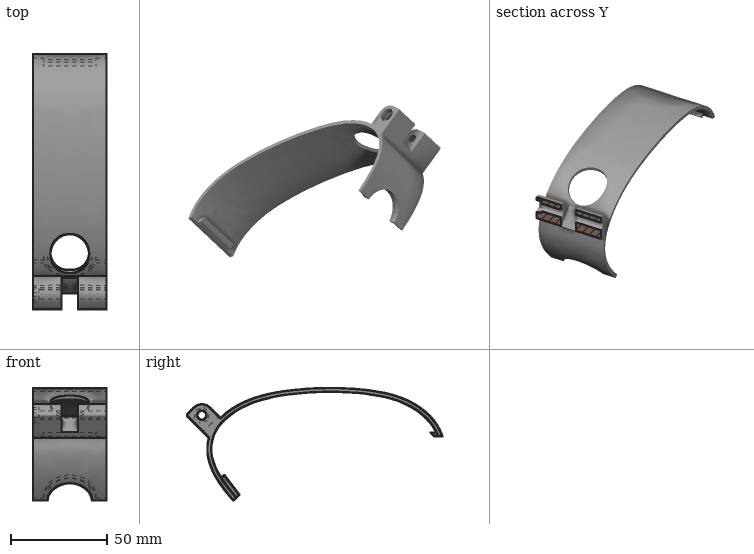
import cadquery as cq
import math


width = 38.1
wall = 2.0
side_curve = [
    (66.8, 2.5),
    (60.4, 13.7),
    (44.2, 24.1),
    (29.7, 27.5),
    (4.7, 28.9),
    (-11.5, 27.8),
    (-37.5, 21.0),
    (-53.6, 6.1),
    (-55.5, -3.3),
    (-52.2, -15.1),
    (-47.5, -22.6),
    (-40.9, -30.6),
]
rear_end_z = 3.8
front_end = (-41.8, -29.35)
end_trim = 20.0

catch_width = 27.0
catch_height = 2.0
catch_root_y = 65.0
catch_tip_y = 62.2

notch_radius = 11.45
rim_radius = 13.5
rim_height = 2.0
rim_root = 0.8
rim_centre = (-38.5, -27.0)
rim_lean = 52.7
notch_depth = 12.0

window_y = -36.9
window_z = 19.8
window_half_width = 10.0
window_half_length = 11.3
window_flare = 0.35
window_tilt = 30.0
window_reach = 8.0

bolt_y = -58.3
bolt_z = 14.75
bolt_diameter = 4.6
lug_half = 5.72
lug_corner_radius = 1.0
lug_upper_root = -8.4
lug_lower_root = -11.6
lug_slot_width = 8.5
lug_slot_floor = -6.5
nut_flats = 7.1
nut_depth = 3.0
lug_lean = math.radians(45)


def make_strap():
    """Sweep the flat wall section along the side curve."""
    spine = cq.Workplane("YZ").spline(side_curve)
    start = spine.val().positionAt(0)
    heading = spine.val().tangentAt(0)
    section = cq.Plane(origin=start, xDir=(1, 0, 0), normal=heading)
    return (
        cq.Workplane(section)
        .center(0, -wall / 2)
        .rect(width, wall)
        .sweep(spine)
    )


def trim_ends(strap):
    """Cut the rear end level and the front end at 45 degrees."""
    rear = cq.Workplane("XY").box(2 * width, end_trim, end_trim)
    rear = rear.translate((0, catch_root_y, rear_end_z - end_trim / 2))
    front_plane = cq.Plane(origin=(0, *front_end), xDir=(1, 0, 0), normal=(0, 1, -1))
    front = cq.Workplane(front_plane).rect(2 * width, end_trim).extrude(end_trim)
    return strap.cut(rear).cut(front)


def make_catch():
    """Lip inside the rear end, with an undercut 45 degree tip."""
    top = rear_end_z + catch_height
    return (
        cq.Workplane("YZ")
        .moveTo(catch_root_y, rear_end_z)
        .lineTo(catch_tip_y, rear_end_z)
        .lineTo(catch_tip_y - catch_height, top)
        .lineTo(catch_root_y - catch_height / 2, top)
        .close()
        .extrude(catch_width / 2, both=True)
    )


def notch_plane():
    """Plane of the rim's inner face, facing into the strap."""
    lean = math.radians(rim_lean)
    facing = (0, math.sin(lean), math.cos(lean))
    return cq.Plane(origin=(0, *rim_centre), xDir=(1, 0, 0), normal=facing)


def make_rim():
    return cq.Workplane(notch_plane()).circle(rim_radius).extrude(-(rim_height + rim_root))


def make_notch():
    return cq.Workplane(notch_plane()).circle(notch_radius).extrude(notch_depth / 2, both=True)


def make_window():
    """Oval cutter whose axis leans towards the front and whose length flares outwards."""
    tilt = math.radians(window_tilt)
    axis = (0, -math.sin(tilt), math.cos(tilt))
    plane = cq.Plane(origin=(0, window_y, window_z), xDir=(1, 0, 0), normal=axis)
    flare = window_flare * window_reach
    return (
        cq.Workplane(plane)
        .workplane(offset=-window_reach)
        .ellipse(window_half_width, window_half_length - flare)
        .workplane(offset=2 * window_reach)
        .ellipse(window_half_width, window_half_length + flare)
        .loft(ruled=True)
    )


def lug_plane(x):
    """Plane across the bolt at a given x; local x is out, local y is low."""
    out = (0, -math.cos(lug_lean), math.sin(lug_lean))
    return cq.Plane(origin=(x, bolt_y, bolt_z), xDir=out, normal=(1, 0, 0))


def make_lug():
    """Full-width lug, rounded about the bolt on its upper side and slotted in the middle."""
    h = lug_half
    r = lug_corner_radius
    mid = math.sqrt(0.5)
    body = (
        cq.Workplane(lug_plane(0))
        .moveTo(lug_upper_root, -h)
        .lineTo(0, -h)
        .threePointArc((h * mid, -h * mid), (h, 0))
        .lineTo(h, h - r)
        .threePointArc((h - r + r * mid, h - r + r * mid), (h - r, h))
        .lineTo(lug_lower_root, h)
        .close()
        .extrude(width / 2, both=True)
    )
    slot = (
        cq.Workplane(lug_plane(0))
        .moveTo(lug_slot_floor, -2 * h)
        .lineTo(2 * h, -2 * h)
        .lineTo(2 * h, 2 * h)
        .lineTo(lug_slot_floor, 2 * h)
        .close()
        .extrude(lug_slot_width / 2, both=True)
    )
    bolt = cq.Workplane(lug_plane(0)).circle(bolt_diameter / 2).extrude(width, both=True)
    nut_corners = nut_flats / math.cos(math.pi / 6)
    nut = cq.Workplane(lug_plane(-width / 2)).polygon(6, nut_corners).extrude(nut_depth)
    return body.cut(slot).cut(bolt).cut(nut)


strap = make_strap().union(make_rim())
strap = trim_ends(strap).cut(make_notch()).cut(make_window())
result = strap.union(make_catch()).union(make_lug())